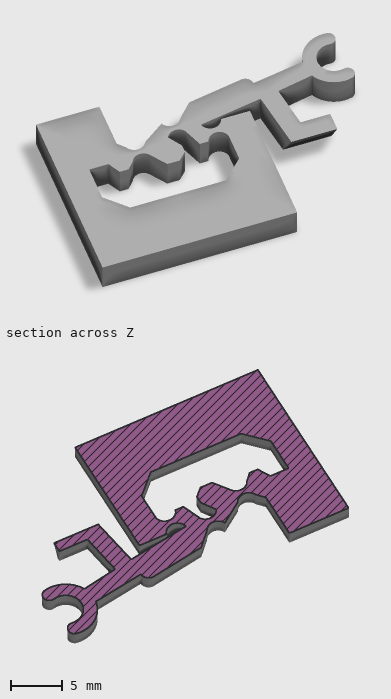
import cadquery as cq
import math

thickness = 3.0

frame_width = 18.75
frame_top = 19.93
upper_beam_left = 5.43
lower_beam_top = 6.5
window_left = 6.95
window_right = 12.7
window_bottom = 2.92
window_top = 16.95
window_chamfer = 2.1

notch_radius = 1.05
neck_width = 0.6
upper_hinge = (6.52, 15.93)
middle_hinge = (4.9, 12.35)
lower_hinge = (6.52, 8.17)
deep_reach = window_top - upper_hinge[1]
reach = 0.95
short_reach = 0.87

root_left = 4.85
root_right = 8.23
root_lip_bottom = 5.6
root_step_height = 4.87

link_peak_left = 7.2
link_right = 8.88
link_top = 12.33
link_chamfer = 0.85
link_side_bottom = 10.2

finger_heel = (2.45, 14.78)
finger_lip_bottom = 14.0
shoulder_start = (1.52, 20.37)
shoulder_middle = (1.65, 21.05)
shoulder_end = (2.33, 21.42)
finger_tilt = math.radians(9.2)
arm_width = 1.9
crossbar_lower_root = (4.38, 21.4)
post_left = 8.4
post_right = 10.4
post_top = 27.08
post_undercut = 1.65
crossbar_width = 1.95

hook_centre = (2.0, 29.78)
hook_outer_radius = 3.07
hook_inner_radius = 1.68
arm_end_gap = 0.47
hook_tip_height = 31.05
left_tip_angle = math.radians(173)


def notch_end(hinge, side, rise):
    """Point on a hinge notch; side is -1 for left and 1 for right."""
    inset = notch_radius - math.sqrt(notch_radius**2 - rise**2)
    return hinge[0] + side * (neck_width / 2 + inset), hinge[1] + rise


def add_notch(outline, hinge, side, start_rise, end_rise):
    """Draw a line to a notch, then follow its arc through the neck."""
    neck = (hinge[0] + side * neck_width / 2, hinge[1])
    outline = outline.lineTo(*notch_end(hinge, side, start_rise))
    return outline.threePointArc(neck, notch_end(hinge, side, end_rise))


def add_points(outline, points):
    for point in points:
        outline = outline.lineTo(*point)
    return outline


def along_finger(start, length):
    """Point reached from start by moving up the tilted finger."""
    return start[0] - length * math.sin(finger_tilt), start[1] + length * math.cos(finger_tilt)


def make_body():
    """Extrude the frame, hinges, link and finger as one closed outline."""
    slope = math.tan(finger_tilt)
    crossbar_upper_root = along_finger(crossbar_lower_root, crossbar_width)
    post_foot = crossbar_lower_root[1] + (post_right - crossbar_lower_root[0]) * slope
    post_inner_foot = crossbar_upper_root[1] + (post_left - crossbar_upper_root[0]) * slope

    arm_length = hook_centre[1] - hook_inner_radius - arm_end_gap - shoulder_end[1]
    arm_left_end = along_finger(shoulder_end, arm_length / math.cos(finger_tilt))
    arm_right_end = (
        arm_left_end[0] + arm_width * math.cos(finger_tilt),
        arm_left_end[1] + arm_width * math.sin(finger_tilt),
    )

    outline = cq.Workplane("XY").moveTo(0, 0)
    outline = add_points(outline, [
        (frame_width, 0),
        (frame_width, frame_top),
        (upper_beam_left, frame_top),
    ])
    outline = add_notch(outline, upper_hinge, -1, deep_reach, -deep_reach)

    outline = add_points(outline, [
        crossbar_lower_root,
        (post_right, post_foot),
        (post_right, post_top),
        (post_left, post_top),
        (post_left, post_inner_foot),
        crossbar_upper_root,
        arm_right_end,
        arm_left_end,
        shoulder_end,
    ])
    outline = outline.threePointArc(shoulder_middle, shoulder_start)
    outline = outline.lineTo(*finger_heel)

    outline = add_notch(outline, middle_hinge, -1, reach, -reach)
    outline = add_notch(outline, lower_hinge, -1, reach, -reach)
    outline = add_points(outline, [(root_left, lower_beam_top), (0, lower_beam_top)])
    return outline.close().extrude(thickness)


def make_window():
    """Inner opening bounded by the frame and the right sides of the hinges."""
    outline = cq.Workplane("XY").moveTo(window_left, window_bottom)
    outline = add_points(outline, [
        (window_right - window_chamfer, window_bottom),
        (window_right, window_bottom + window_chamfer),
        (window_right, window_top - window_chamfer),
        (window_right - window_chamfer, window_top),
    ])
    outline = add_notch(outline, upper_hinge, 1, deep_reach, -deep_reach)
    lip_right = notch_end(upper_hinge, 1, -deep_reach)[0]
    outline = outline.lineTo(lip_right, finger_lip_bottom)
    outline = add_notch(outline, middle_hinge, 1, short_reach, -reach)
    outline = add_points(outline, [
        (link_peak_left, link_top),
        (link_right - link_chamfer, link_top),
        (link_right, link_top - link_chamfer),
        (link_right, link_side_bottom),
    ])
    outline = add_notch(outline, lower_hinge, 1, short_reach, -reach)
    outline = add_points(outline, [
        (root_right, lower_beam_top),
        (root_right, root_lip_bottom),
        (window_left, root_step_height),
    ])
    return outline.close().extrude(thickness)


def make_hook():
    """Round-ended band swept below the hook centre."""
    band_radius = (hook_outer_radius + hook_inner_radius) / 2
    tip_radius = (hook_outer_radius - hook_inner_radius) / 2
    right_tip_angle = math.asin((hook_tip_height - tip_radius - hook_centre[1]) / band_radius)

    def polar(radius, angle):
        return hook_centre[0] + radius * math.cos(angle), hook_centre[1] + radius * math.sin(angle)

    def tip_crown(angle, turn):
        x, y = polar(band_radius, angle)
        return x - turn * tip_radius * math.sin(angle), y + turn * tip_radius * math.cos(angle)

    bottom_angle = -math.pi / 2
    return (
        cq.Workplane("XY")
        .moveTo(*polar(hook_outer_radius, left_tip_angle))
        .threePointArc(polar(hook_outer_radius, bottom_angle), polar(hook_outer_radius, right_tip_angle))
        .threePointArc(tip_crown(right_tip_angle, 1), polar(hook_inner_radius, right_tip_angle))
        .threePointArc(polar(hook_inner_radius, bottom_angle), polar(hook_inner_radius, left_tip_angle))
        .threePointArc(tip_crown(left_tip_angle, -1), polar(hook_outer_radius, left_tip_angle))
        .close()
        .extrude(thickness)
    )


def make_post_undercut():
    """Wedge that leans the outer face of the post inward toward the underside."""
    profile = [(post_right, 0), (post_right - post_undercut, 0), (post_right, thickness)]
    return (
        cq.Workplane("XZ", origin=(0, post_top, 0))
        .polyline(profile)
        .close()
        .extrude(post_top - frame_top)
    )


result = make_body().cut(make_window()).cut(make_post_undercut()).union(make_hook())